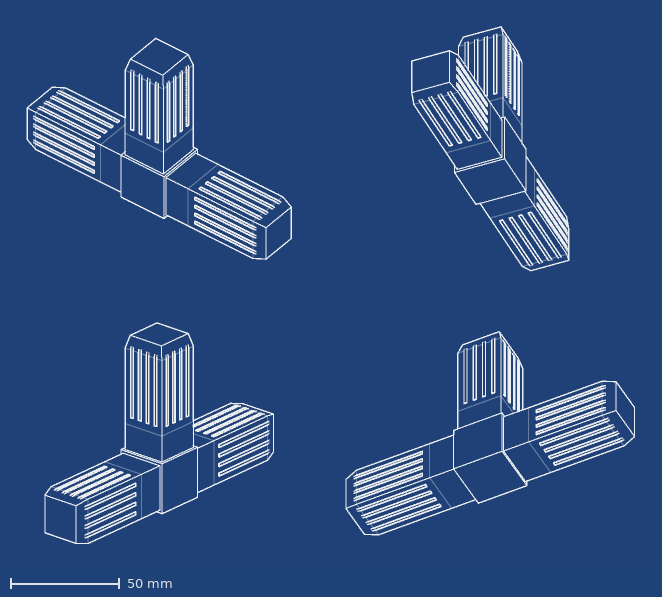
import cadquery as cq

hub_side = 25.07
plug_side = 22.3
plug_length = 57.15
collar_length = 13.0
taper_length = 6.35
tip_side = 18.9

groove_count = 4
groove_width = 1.55
groove_depth = 0.4
groove_start = 3.8

plug_base = hub_side / 2
plug_end = plug_base + plug_length
collar_end = plug_base + collar_length
taper_base = plug_end - taper_length
groove_base = collar_end + groove_start
groove_length = plug_end - groove_base
land_width = (plug_side - groove_count * groove_width) / (groove_count + 1)
groove_pitch = groove_width + land_width


def make_collar():
    """Plain square length of a plug, reaching from the hub centre."""
    return cq.Workplane("XY").rect(plug_side, plug_side).extrude(collar_end)


def make_face_grooves():
    """Parallel grooves of the plug face on the -Y side."""
    return (
        cq.Workplane("XY", origin=(0, -plug_side / 2 + groove_depth / 2, groove_base))
        .rarray(groove_pitch, 1, groove_count, 1)
        .rect(groove_width, groove_depth)
        .extrude(groove_length)
    )


def make_grip():
    """Grooved outer length of a plug with its tapered lead-in."""
    grip = (
        cq.Workplane("XY", origin=(0, 0, collar_end))
        .rect(plug_side, plug_side)
        .extrude(taper_base - collar_end)
    )
    lead_in = (
        cq.Workplane("XY", origin=(0, 0, taper_base))
        .rect(plug_side, plug_side)
        .workplane(offset=taper_length)
        .rect(tip_side, tip_side)
        .loft(ruled=True)
    )
    grip = grip.union(lead_in)
    grooves = make_face_grooves()
    for quarter_turn in (0, 90, 180, 270):
        grip = grip.cut(grooves.rotate((0, 0, 0), (0, 0, 1), quarter_turn))
    return grip


plug = make_collar().union(make_grip(), clean=False)

result = cq.Workplane("XY").box(hub_side, hub_side, hub_side)
for tilt in (-90, 0, 90):
    result = result.union(plug.rotate((0, 0, 0), (0, 1, 0), tilt), clean=False)